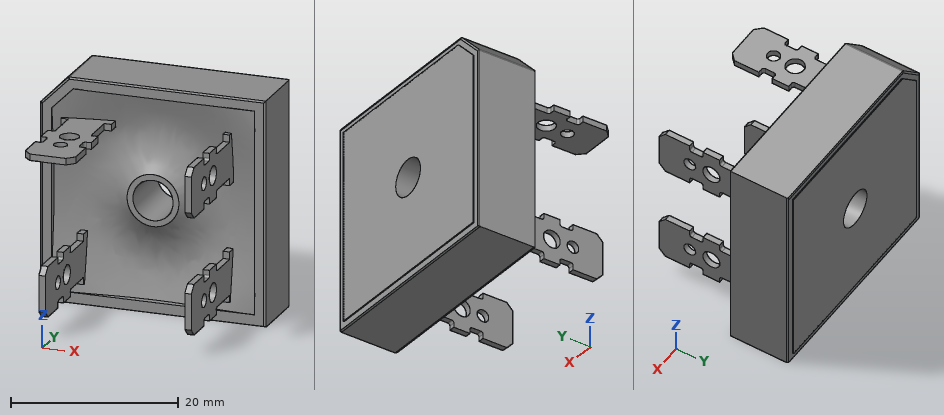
import cadquery as cq

SIDE = 28.7
DEPTH = 8.38
CORNER_CUT = 3.6
CUT_EDGE_ROUND = 0.25
BEVEL_DEPTH = 0.25
BEVEL_INSET = 0.1
BASE_INSET = 0.95
BASE_THICKNESS = 0.15
HOLE_RADIUS = 2.55

RIM_WIDTH = 1.44
COLLAR_RADIUS = 3.3
BOWL_POINTS = [(5.85, 1.3), (8.6, 1.75), (10.9, 1.38), (12.92, 0.9), (15.5, 0.3), (18.65, 0.1)]
BOWL_OVERSHOOT = 0.3

BLADE_LENGTH = 13.15
BLADE_THICKNESS = 0.83
BLADE_HALF = 3.21
NECK_HALF = 2.3
TIP_CHAMFER = 0.92
NOTCH_FILLET = 0.32
HEAD_LENGTH = 4.4
NOTCH_LENGTH = 1.9
LUG_LENGTH = 2.38
FOOT_TOP = 0.11
FOOT_BOTTOM = 2.58
LARGE_HOLE_RADIUS = 1.2
SMALL_HOLE_RADIUS = 0.83

RIGHT_X = 9.3
LEFT_X = -9.3
UPPER_Z = 6.25
LOWER_Z = -8.58
FLAT_BLADE_X = -8.55
FLAT_BLADE_Z = 8.55


def cut_square(inset, y_start, y_end):
    """Square with the -X +Z corner cut off, inset evenly from the housing outline."""
    half = SIDE / 2 - inset
    cut = CORNER_CUT - inset * (2 - 2**0.5)
    outline = [
        (-half, -half),
        (half, -half),
        (half, half),
        (cut - half, half),
        (-half, half - cut),
    ]
    plane = cq.Workplane("XZ").workplane(offset=-y_end)
    return plane.polyline(outline).close().extrude(y_end - y_start)


def make_housing():
    housing = cut_square(0, 0, DEPTH)
    cut_corner = cq.selectors.BoxSelector(
        (-SIDE / 2 - 0.3, 0, SIDE / 2 - CORNER_CUT - 0.3),
        (-SIDE / 2 + CORNER_CUT + 0.3, DEPTH, SIDE / 2 + 0.3),
    )
    housing = housing.edges("|Y").edges(cut_corner).fillet(CUT_EDGE_ROUND)
    for face in ("<Y", ">Y"):
        housing = housing.faces(face).chamfer(BEVEL_INSET, BEVEL_DEPTH)
    return housing.union(cut_square(BASE_INSET, DEPTH, DEPTH + BASE_THICKNESS))


def make_recess():
    """Ring-shaped bowl around the collar, bounded by the rim."""
    outer_radius = BOWL_POINTS[-1][0]
    bowl = (
        cq.Workplane("XY")
        .moveTo(COLLAR_RADIUS, 0)
        .spline(BOWL_POINTS, includeCurrent=True)
        .lineTo(outer_radius, -BOWL_OVERSHOOT)
        .lineTo(COLLAR_RADIUS, -BOWL_OVERSHOOT)
        .close()
        .revolve(360, (0, 0, 0), (0, 1, 0))
    )
    return bowl.intersect(cut_square(RIM_WIDTH, -BOWL_OVERSHOOT, DEPTH))


def make_blade():
    """Blade standing in the YZ plane, centred on X = Z = 0, with its tip at -Y."""
    head_start = BLADE_LENGTH - HEAD_LENGTH
    lug_end = head_start - NOTCH_LENGTH
    lug_start = lug_end - LUG_LENGTH
    upper_edge = [
        (FOOT_BOTTOM, BLADE_HALF),
        (FOOT_TOP, BLADE_HALF),
        (FOOT_TOP, NECK_HALF),
        (-lug_start, NECK_HALF),
        (-lug_start, BLADE_HALF),
        (-lug_end, BLADE_HALF),
        (-lug_end, NECK_HALF),
        (-head_start, NECK_HALF),
        (-head_start, BLADE_HALF),
        (TIP_CHAMFER - BLADE_LENGTH, BLADE_HALF),
        (-BLADE_LENGTH, BLADE_HALF - TIP_CHAMFER),
    ]
    lower_edge = [(y, -z) for y, z in reversed(upper_edge)]
    side_plane = cq.Workplane("YZ").workplane(offset=-BLADE_THICKNESS / 2)
    blade = side_plane.polyline(upper_edge + lower_edge).close().extrude(BLADE_THICKNESS)
    for z in (-NECK_HALF, NECK_HALF):
        notch_corners = cq.selectors.BoxSelector(
            (-BLADE_THICKNESS, -head_start - NOTCH_FILLET, z - NOTCH_FILLET),
            (BLADE_THICKNESS, -lug_start + NOTCH_FILLET, z + NOTCH_FILLET),
        )
        blade = blade.edges("|X").edges(notch_corners).fillet(NOTCH_FILLET)

    large_hole_y = -(lug_start + lug_end) / 2
    for y, radius in ((large_hole_y, LARGE_HOLE_RADIUS), (-head_start, SMALL_HOLE_RADIUS)):
        hole = side_plane.center(y, 0).circle(radius).extrude(BLADE_THICKNESS)
        blade = blade.cut(hole)
    return blade


result = make_housing().cut(make_recess())

blade = make_blade()
for x, z in ((RIGHT_X, UPPER_Z), (RIGHT_X, LOWER_Z), (LEFT_X, LOWER_Z)):
    result = result.union(blade.translate((x, 0, z)))

flat_blade = blade.rotate((0, 0, 0), (0, 1, 0), 90)
result = result.union(flat_blade.translate((FLAT_BLADE_X, 0, FLAT_BLADE_Z)))

hole_length = DEPTH + BASE_THICKNESS
mounting_hole = cq.Workplane("XZ").circle(HOLE_RADIUS).extrude(-hole_length)
result = result.cut(mounting_hole)